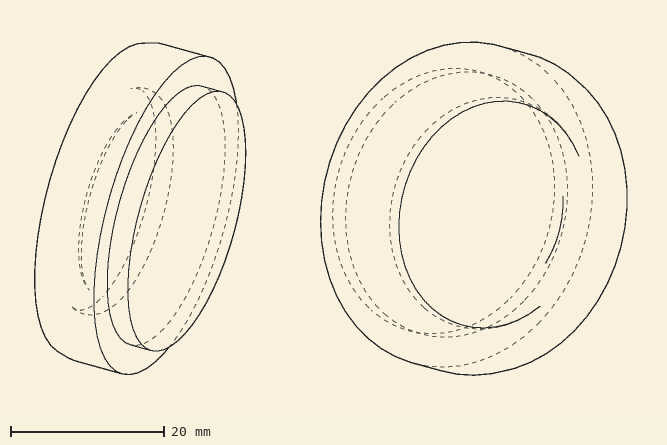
import cadquery as cq
import math

flange_radius = 21.45
boss_radius = 35.0 / 2
total_length = 12.0
flange_length = 9.0

taper_length = 2.0
taper_angle = math.radians(15)
round_radius = 0.5

disc_radius = 11.85
disc_depth = 2.15
groove_mouth_radius = 15.5


def arc_point(centre, radius, angle):
    """Point (x, r) on a circle, with the angle measured from +x towards +r."""
    return (
        centre[0] + radius * math.cos(angle),
        centre[1] + radius * math.sin(angle),
    )


mouth_round_centre = (round_radius, groove_mouth_radius)
disc_round_centre = (disc_depth + round_radius, disc_radius)
groove_centre = (
    (mouth_round_centre[0] + disc_round_centre[0]) / 2,
    (mouth_round_centre[1] + disc_round_centre[1]) / 2,
)
groove_radius = math.dist(mouth_round_centre, disc_round_centre) / 2 - round_radius
groove_tilt = math.atan2(
    disc_round_centre[0] - mouth_round_centre[0],
    mouth_round_centre[1] - disc_round_centre[1],
)
groove_inner_end = arc_point(groove_centre, groove_radius, groove_tilt - math.pi / 2)
groove_bottom = arc_point(groove_centre, groove_radius, groove_tilt)
groove_outer_end = arc_point(groove_centre, groove_radius, groove_tilt + math.pi / 2)

disc_round_middle = arc_point(disc_round_centre, round_radius, (math.pi * 3 / 2 + groove_tilt) / 2)
mouth_round_middle = arc_point(mouth_round_centre, round_radius, (groove_tilt - math.pi * 3 / 2) / 2)

taper_front_radius = flange_radius - (taper_length - round_radius) * math.tan(taper_angle)
rim_round_centre = (round_radius, taper_front_radius - round_radius / math.cos(taper_angle))
taper_normal_angle = math.pi / 2 + taper_angle
rim_round_start = arc_point(rim_round_centre, round_radius, math.pi)
rim_round_middle = arc_point(rim_round_centre, round_radius, (math.pi + taper_normal_angle) / 2)
rim_round_end = arc_point(rim_round_centre, round_radius, taper_normal_angle)

half_section = (
    cq.Workplane("XY")
    .moveTo(disc_depth, 0)
    .lineTo(disc_depth, disc_radius)
    .threePointArc(disc_round_middle, groove_inner_end)
    .threePointArc(groove_bottom, groove_outer_end)
    .threePointArc(mouth_round_middle, (0, groove_mouth_radius))
    .lineTo(*rim_round_start)
    .threePointArc(rim_round_middle, rim_round_end)
    .lineTo(taper_length, flange_radius)
    .lineTo(flange_length, flange_radius)
    .lineTo(flange_length, boss_radius)
    .lineTo(total_length, boss_radius)
    .lineTo(total_length, 0)
    .close()
)
result = half_section.revolve(360, (0, 0, 0), (1, 0, 0))